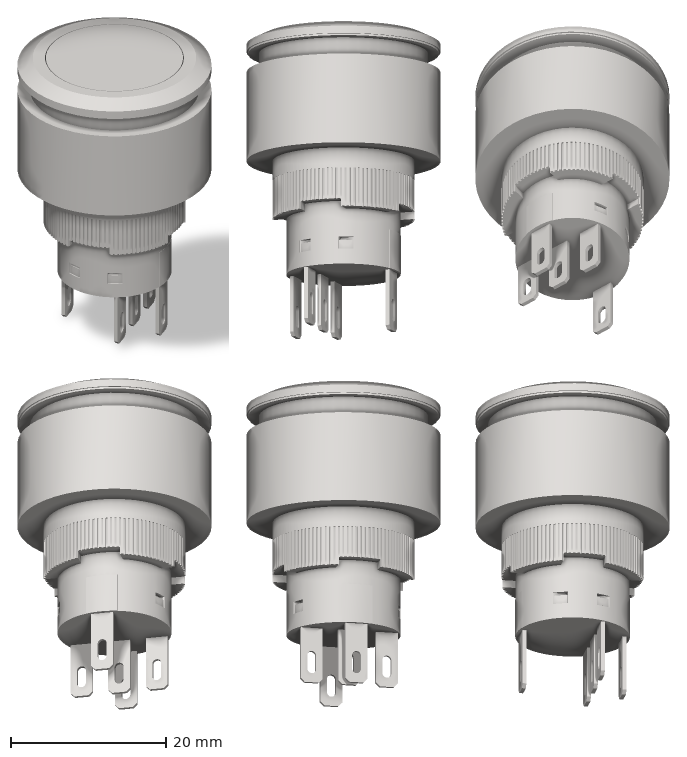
import cadquery as cq

overall_height = 39.0
bezel_chamfer_bottom = 38.0
bezel_rim_bottom = 37.05
bezel_lip_bottom = 36.8
collar_top = 34.35
collar_bottom = 22.7
nut_top = 20.08
nut_notch_top = 16.02
nut_bottom = 15.05
pad_top = 12.85
base_bottom = 7.8

bezel_dia = 25.0
bezel_top_dia = 21.05
bezel_lip_dia = 24.6
neck_dia = 21.8
collar_dia = bezel_dia
barrel_dia = 18.3
nut_dia = barrel_dia
nut_core_dia = 17.9
base_dia = 14.7
pad_dia = 14.78

button_pocket_dia = 17.9
button_gap = 0.1
button_thickness = 1.95

groove_count = 100
groove_width = 0.25
groove_depth = (nut_dia - nut_core_dia) / 2
notch_width = 5.55
notch_angles = (0, 90)

pad_width = 4.15

window_width = 1.8
window_spacing = 5.6
window_top = 11.35
window_bottom = 9.8
latch_top = 10.95
latch_dia = 14.4
window_floor_y = 6.25

terminal_width = 2.9
terminal_thickness = 0.5
terminal_chamfer = 0.5
slot_width = 1.17
slot_length = 2.92
slot_offset = 1.2
lamp_tip_z = 0.0
contact_tip_z = 0.6
lamp_terminal_x = 6.55
contact_terminal_x = 2.8
contact_spacing_y = 5.0
terminal_layout = [
    (-lamp_terminal_x, 0, lamp_tip_z),
    (lamp_terminal_x, 0, lamp_tip_z),
    (contact_terminal_x, -contact_spacing_y, contact_tip_z),
    (contact_terminal_x, 0, contact_tip_z),
    (contact_terminal_x, contact_spacing_y, contact_tip_z),
]


def cylinder(diameter, bottom, top):
    """Upright cylinder on the Z axis between two levels."""
    return cq.Workplane("XY").workplane(offset=bottom).circle(diameter / 2).extrude(top - bottom)


def block(size_x, size_y, bottom, top, x=0, y=0):
    """Upright block centred on (x, y) between two levels."""
    return (
        cq.Workplane("XY", origin=(x, y, bottom))
        .rect(size_x, size_y)
        .extrude(top - bottom)
    )


def make_turned_body():
    """Bezel, neck, collar, barrel and base, turned about the Z axis."""
    profile = [
        (0, base_bottom),
        (base_dia / 2, base_bottom),
        (base_dia / 2, nut_bottom),
        (nut_core_dia / 2, nut_bottom),
        (nut_core_dia / 2, nut_top),
        (barrel_dia / 2, nut_top),
        (barrel_dia / 2, collar_bottom),
        (collar_dia / 2, collar_bottom),
        (collar_dia / 2, collar_top),
        (neck_dia / 2, collar_top),
        (neck_dia / 2, bezel_lip_bottom),
        (bezel_lip_dia / 2, bezel_lip_bottom),
        (bezel_lip_dia / 2, bezel_rim_bottom),
        (bezel_dia / 2, bezel_rim_bottom),
        (bezel_dia / 2, bezel_chamfer_bottom),
        (bezel_top_dia / 2, overall_height),
        (0, overall_height),
    ]
    return cq.Workplane("XZ").polyline(profile).close().revolve(360, (0, 0, 0), (0, 1, 0))


def add_nut(body):
    """Grooved nut below the barrel, as wide as the barrel."""
    nut = cylinder(nut_dia, nut_bottom, nut_top)
    grooves = (
        cq.Workplane("XY")
        .workplane(offset=nut_bottom)
        .polarArray(nut_dia / 2, 0, 360, groove_count)
        .rect(2 * groove_depth, groove_width)
        .extrude(nut_top - nut_bottom)
    )
    return body.union(nut.cut(grooves))


def cut_nut_notches(body):
    """Four notches across the lower edge of the nut, down to the base."""
    ring = cylinder(nut_dia, nut_bottom, nut_notch_top).cut(
        cylinder(base_dia, nut_bottom, nut_notch_top)
    )
    for angle in notch_angles:
        bar = block(2 * nut_dia, notch_width, nut_bottom, nut_notch_top)
        body = body.cut(ring.intersect(bar.rotate((0, 0, 0), (0, 0, 1), angle)))
    return body


def add_pads(body):
    """Slightly raised pads low on the -X and +X sides of the base."""
    strip = block(2 * pad_dia, pad_width, base_bottom, pad_top)
    return body.union(cylinder(pad_dia, base_bottom, pad_top).intersect(strip))


def cut_windows(body):
    """Latch windows: a shallow recess over the latch, with a deeper gap above it."""
    latch = cylinder(latch_dia, window_bottom, latch_top)
    depth = base_dia / 2 - window_floor_y
    for side in (-1, 1):
        for end in (-1, 1):
            window = block(
                window_width,
                depth,
                window_bottom,
                window_top,
                end * window_spacing / 2,
                side * (window_floor_y + depth / 2),
            )
            body = body.cut(window.cut(latch))
    return body


def make_terminal(x, y, tip_z):
    """Flat terminal with a chamfered tip and a slotted eye."""
    slot_centre_z = tip_z + slot_offset + slot_length / 2
    return (
        block(terminal_thickness, terminal_width, tip_z, base_bottom, x, y)
        .edges("|X and <Z")
        .chamfer(terminal_chamfer)
        .cut(
            cq.Workplane("YZ", origin=(x, y, slot_centre_z))
            .slot2D(slot_length, slot_width, 90)
            .extrude(terminal_thickness, both=True)
        )
    )


def make_housing():
    """Switch housing with its nut and terminals."""
    body = make_turned_body()
    body = add_nut(body)
    body = cut_nut_notches(body)
    body = add_pads(body)
    body = cut_windows(body)
    for x, y, tip_z in terminal_layout:
        body = body.union(make_terminal(x, y, tip_z))
    return body.cut(cylinder(button_pocket_dia, overall_height - button_thickness, overall_height))


def make_button():
    """Round button standing on the floor of the bezel pocket, flush with the top face."""
    button_dia = button_pocket_dia - 2 * button_gap
    return cylinder(button_dia, overall_height - button_thickness, overall_height)


housing = make_housing()
button = make_button()

result = cq.Compound.makeCompound([housing.val(), button.val()])